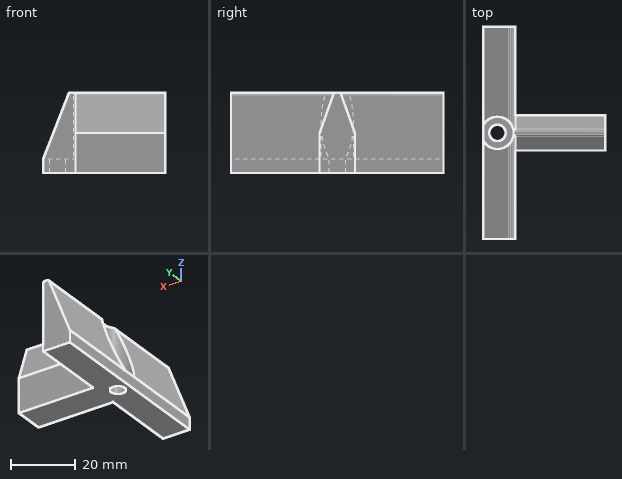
import cadquery as cq

length = 66.0
depth = 38.0
height = 25.0

wall_thickness = 10.0
wall_top_width = 2.0
front_lip_height = 4.35

rib_width = 10.95
rib_top_width = 2.0
rib_shoulder_height = 12.5

top_edge_radius = 0.7

hole_diameter = 5.0
counterbore_diameter = 10.0
hole_x = 4.5
counterbore_floor = front_lip_height


def make_wall():
    """Wall along Y with its front face at X = 0 and rounded top edges."""
    profile = [
        (0, 0),
        (wall_thickness, 0),
        (wall_thickness, height),
        (wall_thickness - wall_top_width, height),
        (0, front_lip_height),
    ]
    wall = cq.Workplane("XZ").polyline(profile).close().extrude(length / 2, both=True)
    return wall.faces(">Z").edges("|Y").fillet(top_edge_radius)


def make_rib():
    """Rib along X that starts under the flat top of the wall."""
    start_x = wall_thickness - wall_top_width / 2
    profile = [
        (-rib_width / 2, 0),
        (rib_width / 2, 0),
        (rib_width / 2, rib_shoulder_height),
        (rib_top_width / 2, height),
        (-rib_top_width / 2, height),
        (-rib_width / 2, rib_shoulder_height),
    ]
    rib = cq.Workplane("YZ", origin=(start_x, 0, 0)).polyline(profile).close().extrude(depth - start_x)
    return rib.faces(">Z").edges("|X").fillet(top_edge_radius)


def make_vertical_cutter(diameter, floor):
    """Cylinder on the screw axis from the given floor to the top of the part."""
    base = cq.Workplane("XY", origin=(hole_x, 0, floor))
    return base.circle(diameter / 2).extrude(height - floor)


result = make_wall().union(make_rib())
result = result.cut(make_vertical_cutter(counterbore_diameter, counterbore_floor))
result = result.cut(make_vertical_cutter(hole_diameter, 0))